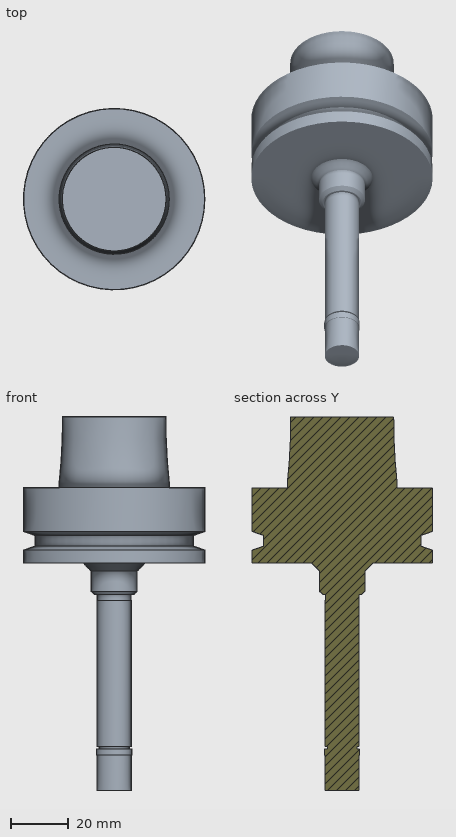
import cadquery as cq

shank_top_diameter = 36.0
shank_middle_diameter = 36.5
shank_base_diameter = 38.4
flange_diameter = 63.0
flange_groove_diameter = 55.0
flare_diameter = 21.3
collar_diameter = 16.0
collar_end_diameter = 13.4
neck_diameter = 11.8
stem_diameter = 12.0
stem_groove_diameter = 10.5
ring_diameter = 12.4
tip_diameter = 12.0

tip_top = 12.4
ring_top = 14.5
stem_groove_top = 15.3
neck_bottom = 66.2
neck_top = 68.1
collar_chamfer_top = 69.3
collar_top = 76.3
flange_bottom = 79.0
flange_top = 105.3
shank_taper_bottom = 107.0
total_height = 130.0

lower_rim_height = 4.5
groove_bevel_height = 1.4
groove_floor_height = 3.6
lower_rim_top = flange_bottom + lower_rim_height
groove_floor_bottom = lower_rim_top + groove_bevel_height
groove_floor_top = groove_floor_bottom + groove_floor_height
upper_rim_bottom = groove_floor_top + groove_bevel_height


def rim(diameter, height):
    """Profile point at the given diameter and height."""
    return (diameter / 2, height)


stem_and_flange_points = [
    (0, 0),
    rim(tip_diameter, 0),
    rim(tip_diameter, tip_top),
    rim(ring_diameter, tip_top),
    rim(ring_diameter, ring_top),
    rim(stem_groove_diameter, ring_top),
    rim(stem_groove_diameter, stem_groove_top),
    rim(stem_diameter, stem_groove_top),
    rim(stem_diameter, neck_bottom),
    rim(neck_diameter, neck_bottom),
    rim(neck_diameter, neck_top),
    rim(collar_end_diameter, neck_top),
    rim(collar_diameter, collar_chamfer_top),
    rim(collar_diameter, collar_top),
    rim(flare_diameter, flange_bottom),
    rim(flange_diameter, flange_bottom),
    rim(flange_diameter, lower_rim_top),
    rim(flange_groove_diameter, groove_floor_bottom),
    rim(flange_groove_diameter, groove_floor_top),
    rim(flange_diameter, upper_rim_bottom),
    rim(flange_diameter, flange_top),
    rim(shank_base_diameter, flange_top),
    rim(shank_base_diameter, shank_taper_bottom),
]

shank_middle_height = (shank_taper_bottom + total_height) / 2
profile = (
    cq.Workplane("XZ")
    .polyline(stem_and_flange_points)
    .threePointArc(
        rim(shank_middle_diameter, shank_middle_height),
        rim(shank_top_diameter, total_height),
    )
    .lineTo(0, total_height)
    .close()
)

result = profile.revolve(360, (0, 0, 0), (0, 1, 0))